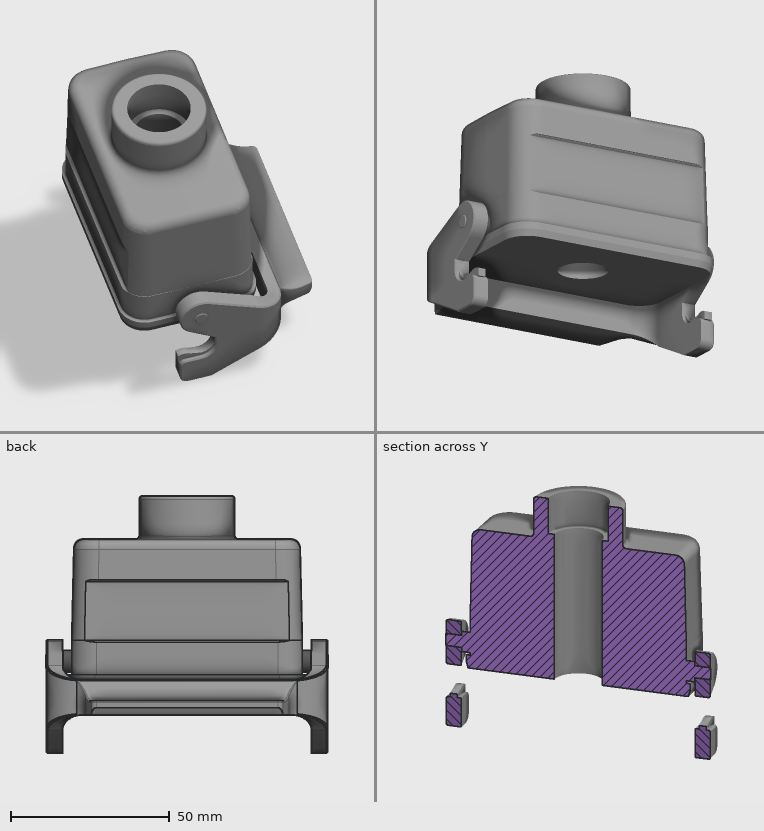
import cadquery as cq
import math

rim_x = 75.1
rim_y = 45.0
rim_corner = 8.5
rim_height = 4.5
rim_taper_height = 2.2
rim_taper_inset = 0.6

wall_x = 72.6
wall_y = 43.1
wall_corner = 7.7
wall_top = 15.4

roof_x = 70.7
roof_y = 41.5
eaves_z = 47.0
ridge_angle = 0.7
roof_round = 3.1

panel_top = 34.4
panel_y_bottom = 41.0
panel_y_top = 40.05
lip_bevel = 0.6

neck_diameter = 30.0
neck_top = 60.8
neck_round = 1.1
neck_bore = 20.0
neck_bore_depth = 11.8
cable_hole = 16

pivot_z = 8.7
boss_diameter = 7.0
boss_bevel = 0.2
pivot_root = 1.8
pin_diameter = 4.3
pin_bevel = 0.3
pin_tip_x = 44.5

leg_outer_x = 44.2
leg_inner_x = 39.2
plate_front_y = 25.0
plate_back_y = 28.9
bend_start_y = 19.05
bend_center_x = leg_inner_x - (plate_front_y - bend_start_y)
edge_bevel = 0.45
bend_core = 2.7
bend_steps = 6

eye_radius = 6.85
top_slope = 24.6
bottom_slope = 25.2
notch_slope = 33

lever_bottom = -20.2
foot_y = 3.5
hook_front_y = -6.85
hook_foot_round = 2.7
hook_nose_round = 1.9
notch_back_y = 4.6
notch_floor_z = -10.3
notch_radius = 4.45

rib_width = 2.6
rib_center_x = 41.65
rib_front_y = -7.2
rib_root_z = -10.95
rib_low_z = -9.2
rib_rise_y = -3.0
rib_rise_z = -8.45
rib_crest_y = -5.2
rib_crest_z = -7.9
rib_tip_z = -8.4

handle_tip_y = 41.5
handle_top = -3.65
handle_flat_y = 38.45
handle_bevel_depth = 1.4
handle_bevel_height = 2.3
handle_tip_half = 29.8
handle_side_half = 32
handle_side_y = 32.4
handle_root_half = 34.7
handle_root_round = 5.3
handle_corner_round = 1.5
handle_edge_round = 0.45


def rounded_block(size_x, size_y, corner, bottom, top):
    block = cq.Workplane("XY").workplane(offset=bottom).rect(size_x, size_y).extrude(top - bottom)
    return block.edges("|Z").fillet(corner)


def make_rim():
    rim = rounded_block(rim_x, rim_y, rim_corner, 0, rim_height)
    return rim.faces("<Z").edges().chamfer(rim_taper_height, rim_taper_inset)


def ridge_rise(width):
    """Height of the draft peak at the middle of a face of this width."""
    return width / 2 * math.tan(math.radians(ridge_angle))


def end_wall_x(y, z):
    """Position of the drafted +X end wall, a plane on the -Y side of the parting plane."""
    splay = math.tan(math.radians(ridge_angle))
    foot_x = wall_x / 2 + splay * y
    foot_x_at_eaves = wall_x / 2 - splay * roof_y / 2
    lean = (foot_x_at_eaves - roof_x / 2) / (eaves_z - wall_top)
    return foot_x - lean * (z - wall_top)


def make_half_block():
    """Drafted and rounded half of the upper block, on the -Y side of the parting plane."""
    ridge_z = eaves_z + ridge_rise(roof_y)
    profile = [(0, wall_top), (-wall_y / 2, wall_top), (-roof_y / 2, eaves_z), (0, ridge_z)]
    right = [cq.Vector(end_wall_x(y, z), y, z) for y, z in profile]
    left = [cq.Vector(-end_wall_x(y, z), y, z) for y, z in profile]
    outlines = [right, left]
    for i in range(len(profile)):
        outlines.append([right[i - 1], right[i], left[i], left[i - 1]])
    faces = [cq.Face.makeFromWires(cq.Wire.makePolygon(outline, close=True)) for outline in outlines]
    block = cq.Workplane(cq.Solid.makeSolid(cq.Shell.makeShell(faces)))
    block = block.faces("<Y").edges("<X or >X").fillet(wall_corner)
    return block.faces(">Z").edges("not >Y").fillet(roof_round)


def make_upper_body():
    """Upper block with the cable neck, mirrored about the parting plane."""
    half_disc = (
        cq.Workplane("XY").workplane(offset=wall_top)
        .moveTo(-neck_diameter / 2, 0).threePointArc((0, -neck_diameter / 2), (neck_diameter / 2, 0))
        .close().extrude(neck_top - wall_top)
    )
    half = make_half_block().union(half_disc)
    reach = neck_diameter / 2
    neck_root = cq.selectors.BoxSelector(
        (-reach, -reach, eaves_z), (reach, -neck_round, eaves_z + ridge_rise(roof_y))
    )
    half = half.edges(neck_root).fillet(neck_round)
    return half.union(half.mirror("XZ")).faces(">Z").edges().fillet(neck_round)


def panel_cutter():
    """Recess above a long side: everything in front of a drafted panel plane."""
    beyond = wall_y
    profile = [
        (panel_y_bottom / 2, wall_top), (panel_y_top / 2, panel_top - lip_bevel),
        (roof_y / 2, panel_top), (beyond, panel_top),
        (beyond, wall_top - lip_bevel), (wall_y / 2, wall_top - lip_bevel),
    ]
    return cq.Workplane("YZ").polyline(profile).close().extrude(wall_x, both=True)


def side_cylinder(side, diameter, end_x, bevel):
    """Pivot cylinder rooted inside the wall on one side, with its outer end bevelled."""
    start_x = wall_x / 2 - pivot_root
    cylinder = (
        cq.Workplane("YZ").workplane(offset=start_x).center(0, pivot_z)
        .circle(diameter / 2).extrude(end_x - start_x)
        .faces(">X").chamfer(bevel)
    )
    return cylinder if side > 0 else cylinder.mirror("YZ")


def make_hood():
    hood = make_upper_body()
    hood = hood.union(rounded_block(wall_x, wall_y, wall_corner, 0, wall_top))
    hood = hood.cut(panel_cutter()).cut(panel_cutter().mirror("XZ"))
    hood = hood.union(make_rim())
    for side in (-1, 1):
        hood = hood.union(side_cylinder(side, boss_diameter, leg_inner_x, boss_bevel))
        hood = hood.union(side_cylinder(side, pin_diameter, pin_tip_x, pin_bevel))
    bore = cq.Workplane("XY").workplane(offset=neck_top - neck_bore_depth).circle(neck_bore / 2)
    hole = cq.Workplane("XY").circle(cable_hole / 2)
    return hood.cut(bore.extrude(neck_bore_depth)).cut(hole.extrude(neck_top))


def eye_tangent_point(slope, end):
    """Point on the eye where an edge falling towards +Y (end = 1) or rising from -Y (end = -1) leaves."""
    angle = math.radians(slope)
    return (end * eye_radius * math.sin(angle), pivot_z + end * eye_radius * math.cos(angle))


def top_edge_z(y):
    """Height of the sloping top edge at depth y."""
    start_y, start_z = eye_tangent_point(top_slope, 1)
    return start_z - (y - start_y) * math.tan(math.radians(top_slope))


def bottom_edge_z(y):
    """Height of the sloping bottom edge at depth y."""
    return lever_bottom + (y - foot_y) * math.tan(math.radians(bottom_slope))


def make_leg_side():
    """Legs seen along X: eye, sloping edges, notch and hook."""
    eye_top = eye_tangent_point(top_slope, 1)
    eye_low = eye_tangent_point(notch_slope, -1)
    notch_top_z = eye_low[1] - (notch_back_y - eye_low[0]) * math.tan(math.radians(notch_slope))
    notch_arc_z = notch_floor_z + notch_radius
    floor_y = notch_back_y - notch_radius
    profile = (
        cq.Workplane("YZ").moveTo(bend_start_y, top_edge_z(bend_start_y)).lineTo(*eye_top)
        .threePointArc((-eye_radius, pivot_z), eye_low)
        .lineTo(notch_back_y, notch_top_z).lineTo(notch_back_y, notch_arc_z)
        .radiusArc((floor_y, notch_floor_z), notch_radius)
        .lineTo(hook_front_y + hook_nose_round, notch_floor_z)
        .radiusArc((hook_front_y, notch_floor_z - hook_nose_round), -hook_nose_round)
        .lineTo(hook_front_y, lever_bottom + hook_foot_round)
        .radiusArc((hook_front_y + hook_foot_round, lever_bottom), -hook_foot_round)
        .lineTo(foot_y, lever_bottom).lineTo(bend_start_y, bottom_edge_z(bend_start_y)).close()
    )
    return profile.extrude(leg_outer_x, both=True)


def legs_outline(half_width, back_y):
    """Block with two rounded back corners, as wide and deep as one skin of the lever."""
    front_y = 2 * hook_front_y
    height = pivot_z + eye_radius - lever_bottom
    block = (
        cq.Workplane("XY").workplane(offset=lever_bottom)
        .center(0, (front_y + back_y) / 2)
        .rect(2 * half_width, back_y - front_y).extrude(height)
    )
    return block.edges("|Z and >Y").fillet(back_y - bend_start_y)


def make_lever_plan():
    """Lever seen along Z: two legs joined by a plate with rounded bends."""
    return legs_outline(leg_outer_x, plate_back_y).cut(legs_outline(leg_inner_x, plate_front_y))


def make_bend_envelope():
    """Wedge at the +X bend whose top and bottom fall along the bend, level across its thickness."""
    outer_bend = plate_back_y - bend_start_y
    reach = 2 * outer_bend
    sections = []
    for step in range(bend_steps + 1):
        angle = math.pi / 2 * step / bend_steps
        outer_y = bend_start_y + outer_bend * math.sin(angle)
        low = bottom_edge_z(outer_y)
        high = top_edge_z(outer_y)
        tip_x = bend_center_x + reach * math.cos(angle)
        tip_y = bend_start_y + reach * math.sin(angle)
        near_x = bend_center_x + bend_core * math.cos(angle)
        near_y = bend_start_y + bend_core * math.sin(angle)
        corners = [(near_x, near_y, low), (tip_x, tip_y, low), (tip_x, tip_y, high), (near_x, near_y, high)]
        sections.append(cq.Wire.makePolygon([cq.Vector(*c) for c in corners], close=True))
    return cq.Workplane(cq.Solid.makeLoft(sections))


def make_yoke():
    """Legs, bends and cross plate as one bent sheet."""
    bend = make_bend_envelope()
    plate_low = bottom_edge_z(plate_back_y)
    plate_high = top_edge_z(plate_back_y)
    plate = (
        cq.Workplane("XY").workplane(offset=plate_low)
        .center(0, (plate_front_y + plate_back_y) / 2)
        .rect(2 * bend_center_x, plate_back_y - plate_front_y).extrude(plate_high - plate_low)
    )
    plan = make_lever_plan()
    yoke = make_leg_side().intersect(plan).union(plate)
    for envelope in (bend, bend.mirror("YZ")):
        yoke = yoke.union(plan.intersect(envelope))
    return yoke


def bevel_outer_edges(yoke):
    """Bevel the outside edges of both legs and of both bends."""
    outer_edges = yoke.faces("<X or >X").edges("not (|Z and >Y)")
    for side in (-1, 1):
        bend_corner = cq.selectors.NearestToPointSelector(
            (side * leg_outer_x, plate_back_y, bottom_edge_z(plate_back_y) / 2)
        )
        outer_edges = outer_edges.add(yoke.faces(bend_corner).edges("not |Z"))
    return outer_edges.chamfer(edge_bevel)


def make_handle():
    bottom = bottom_edge_z(plate_back_y)
    root_y = (plate_front_y + plate_back_y) / 2
    scoop_reach = handle_flat_y - plate_back_y
    scoop_rise = top_edge_z(plate_back_y) - handle_top
    scoop_radius = (scoop_reach**2 + scoop_rise**2) / (2 * scoop_rise)
    side = (
        cq.Workplane("YZ").moveTo(root_y, bottom)
        .lineTo(handle_tip_y - handle_bevel_depth, bottom)
        .lineTo(handle_tip_y, bottom + handle_bevel_height)
        .lineTo(handle_tip_y, handle_top).lineTo(handle_flat_y, handle_top)
        .radiusArc((plate_back_y, handle_top + scoop_rise), scoop_radius)
        .lineTo(root_y, handle_top).close().extrude(leg_outer_x, both=True)
    )
    plan = (
        cq.Workplane("XY").workplane(offset=bottom).moveTo(-handle_root_half, root_y)
        .lineTo(handle_root_half, root_y).lineTo(handle_root_half, plate_back_y)
        .radiusArc((handle_side_half, handle_side_y), handle_root_round)
        .lineTo(handle_tip_half, handle_tip_y).lineTo(-handle_tip_half, handle_tip_y)
        .lineTo(-handle_side_half, handle_side_y)
        .radiusArc((-handle_root_half, plate_back_y), handle_root_round)
        .close().extrude(top_edge_z(plate_back_y) - bottom)
    )
    plan = plan.edges("|Z and >Y").fillet(handle_corner_round)
    handle = side.intersect(plan)
    tip_edge = cq.selectors.NearestToPointSelector((0, handle_tip_y, handle_top))
    return handle.edges(tip_edge).fillet(handle_edge_round)


def make_rib(side):
    """Cam strip that rises from the notch floor to a low crest at the hook tip."""
    low_y = notch_back_y - notch_radius
    start_z = notch_floor_z + notch_radius
    drop = start_z - rib_low_z
    low_radius = (notch_radius**2 + drop**2) / (2 * drop)
    return (
        cq.Workplane("YZ").workplane(offset=side * rib_center_x - rib_width / 2)
        .moveTo(notch_back_y, start_z)
        .radiusArc((low_y, rib_low_z), low_radius)
        .lineTo(rib_rise_y, rib_rise_z)
        .threePointArc((rib_crest_y, rib_crest_z), (rib_front_y, rib_tip_z))
        .lineTo(rib_front_y, rib_root_z)
        .lineTo(notch_back_y, rib_root_z).close().extrude(rib_width)
    )


def make_lever():
    lever = bevel_outer_edges(make_yoke()).union(make_handle())
    for side in (-1, 1):
        lever = lever.union(make_rib(side))
    pin_hole = cq.Workplane("YZ").center(0, pivot_z).circle(pin_diameter / 2).extrude(pin_tip_x, both=True)
    return lever.cut(pin_hole)


hood = make_hood()
lever = make_lever()
result = cq.Compound.makeCompound([hood.solids().val(), lever.solids().val()])